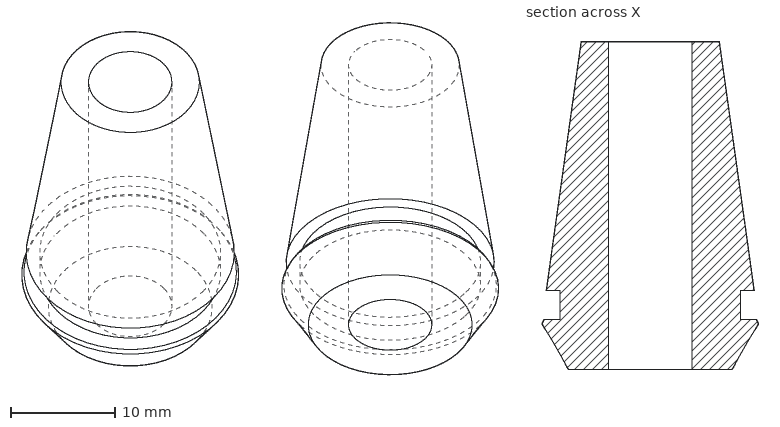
import cadquery as cq

height = 31.5
rim_height = 4.4
collar_height = 4.82
taper_start_height = 7.6

bore_diameter = 8.0
base_diameter = 15.75
rim_diameter = 20.85
collar_top_diameter = 20.4
groove_diameter = 17.4
taper_large_diameter = 20.0
taper_small_diameter = 13.3


def revolved_body():
    """Collet body: flared collar, groove and long taper, revolved about Z."""
    base_radius = base_diameter / 2
    groove_radius = groove_diameter / 2
    half_section = [
        (0, 0),
        (base_radius, 0),
        (rim_diameter / 2, rim_height),
        (collar_top_diameter / 2, collar_height),
        (groove_radius, collar_height),
        (groove_radius, taper_start_height),
        (taper_large_diameter / 2, taper_start_height),
        (taper_small_diameter / 2, height),
        (0, height),
    ]
    return cq.Workplane("XZ").polyline(half_section).close().revolve(360, (0, 0), (0, 1))


def through_bore():
    """Straight bore along the full height."""
    return cq.Workplane("XY").circle(bore_diameter / 2).extrude(height)


result = revolved_body().cut(through_bore())